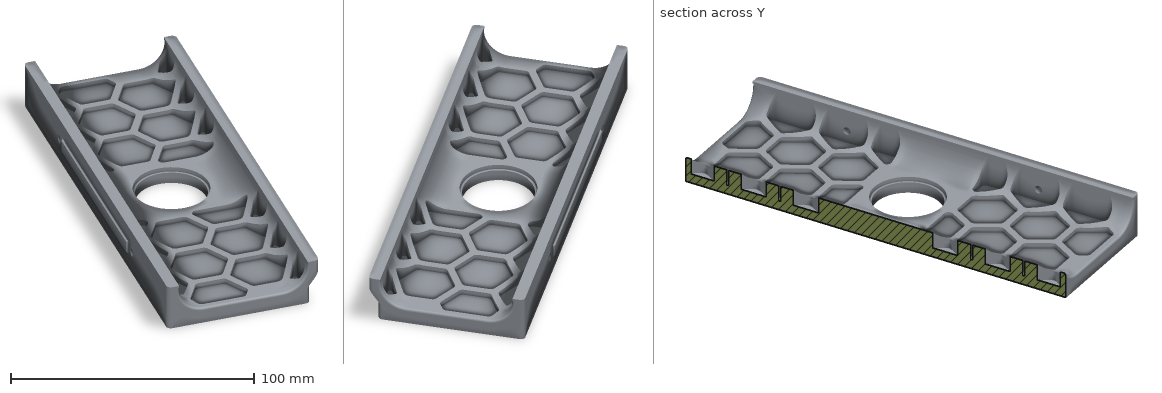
import cadquery as cq
import math

LENGTH = 182.0
WIDTH = 66.0
HEIGHT = 20.0
CORNER_RADIUS = 2.0

RAIL_WIDTH = 5.0
FLOOR_Z = 7.0
CHANNEL_RADIUS = 11.0
END_RADIUS = 1.0
ROUNDING_TOP_Z = 19.0
EDGE_MARGIN = 0.1
CHANNEL_HALF = WIDTH / 2 - RAIL_WIDTH
FLOOR_HALF = CHANNEL_HALF - CHANNEL_RADIUS

OVERHANG = 4.0
OVERHANG_TOP_Z = 14.5
OVERHANG_BOTTOM_Z = 9.0

WINDOW_DIAMETER = 30.0
STEP_DIAMETER = 32.0
STEP_DEPTH = 2.0

HEX_FLATS = 22.0
HEX_PITCH = 25.0
POCKET_CORNER_RADIUS = 2.0
BACK_CORNER_RADIUS = 1.0
POCKET_FLOOR_Z = 4.5
FRONT_ROW = -1
BACK_ROW = 2
ROW_PITCH = HEX_PITCH * math.sqrt(3) / 2
ROW_Y = -8.0
COLUMN_X = 58.3
FIELD_INNER_X = 19.5
FIELD_OUTER_X = 88.0

BAR_LENGTH = 83.0
BAR_HEIGHT = 6.0
BAR_RELIEF = 0.8
BAR_TAPER = 0.5
SIDE_Z = 10.0
SIDE_HOLE_DIAMETER = 3.5
SIDE_HOLE_X = COLUMN_X - HEX_PITCH / 2


def make_body():
    """Full-length outer solid, undercut below the back rail, with its upright corners rounded."""
    front = -WIDTH / 2
    back = WIDTH / 2
    profile = (
        cq.Workplane("YZ")
        .moveTo(front, 0)
        .lineTo(back - OVERHANG, 0)
        .lineTo(back - OVERHANG, OVERHANG_BOTTOM_Z)
        .lineTo(back, OVERHANG_TOP_Z)
        .lineTo(back, HEIGHT)
        .lineTo(front, HEIGHT)
        .close()
    )
    return profile.extrude(LENGTH / 2, both=True).edges("|Z").fillet(CORNER_RADIUS)


def make_channel():
    """Channel cutter of full length."""
    arc_z = FLOOR_Z + CHANNEL_RADIUS
    return (
        cq.Workplane("YZ")
        .moveTo(-CHANNEL_HALF, HEIGHT)
        .lineTo(-CHANNEL_HALF, arc_z)
        .radiusArc((-FLOOR_HALF, FLOOR_Z), -CHANNEL_RADIUS)
        .lineTo(FLOOR_HALF, FLOOR_Z)
        .radiusArc((CHANNEL_HALF, arc_z), -CHANNEL_RADIUS)
        .lineTo(CHANNEL_HALF, HEIGHT)
        .close()
        .extrude(LENGTH / 2, both=True)
    )


def cut_channel(body):
    """Cut the channel, round its edge at both ends and keep the rail tops square above the rounding."""
    square_ended = body.cut(make_channel())
    top_slab = (
        cq.Workplane("XY", origin=(0, 0, ROUNDING_TOP_Z))
        .rect(LENGTH, WIDTH)
        .extrude(HEIGHT - ROUNDING_TOP_Z)
    )
    channel_edges = cq.selectors.BoxSelector(
        (-LENGTH, -CHANNEL_HALF - EDGE_MARGIN, FLOOR_Z - EDGE_MARGIN),
        (LENGTH, CHANNEL_HALF + EDGE_MARGIN, HEIGHT - EDGE_MARGIN),
    )
    rounded = square_ended.faces("<X or >X").edges(channel_edges).fillet(END_RADIUS)
    return rounded.union(square_ended.intersect(top_slab))


def make_pocket(x, y, radius):
    """One hexagonal pocket trimmed to the honeycomb field, its corners rounded by radius.

    The hexagon and the field are both shrunk by radius; growing their overlap back rounds every corner.
    """
    floor = cq.Workplane("XY", origin=(0, 0, POCKET_FLOOR_Z))
    field = (
        floor.center((FIELD_INNER_X + FIELD_OUTER_X) / 2, 0)
        .rect(FIELD_OUTER_X - FIELD_INNER_X - 2 * radius, 2 * (CHANNEL_HALF - radius))
        .extrude(HEIGHT)
    )
    hexagon = (
        floor.center(x, y)
        .transformed(rotate=(0, 0, 30))
        .polygon(6, (HEX_FLATS - 2 * radius) * 2 / math.sqrt(3))
        .extrude(HEIGHT)
    )
    core = hexagon.intersect(field).faces("<Z").wires().val()
    return floor.add(core).toPending().offset2D(radius).extrude(HEIGHT)


def cut_honeycomb(body):
    """Cut four staggered rows of three pockets on each side of the window."""
    for row in range(FRONT_ROW, BACK_ROW + 1):
        stagger = (row % 2) * HEX_PITCH / 2
        radius = BACK_CORNER_RADIUS if row == BACK_ROW else POCKET_CORNER_RADIUS
        for column in (-1, 0, 1):
            x = COLUMN_X + column * HEX_PITCH - stagger
            pocket = make_pocket(x, ROW_Y + row * ROW_PITCH, radius)
            body = body.cut(pocket).cut(pocket.mirror("YZ"))
    return body


def cut_window(body):
    """Cut the round window with a wider step at the floor."""
    window = cq.Workplane("XY").circle(WINDOW_DIAMETER / 2).extrude(FLOOR_Z)
    step_floor = cq.Workplane("XY", origin=(0, 0, FLOOR_Z - STEP_DEPTH))
    step = step_floor.circle(STEP_DIAMETER / 2).extrude(STEP_DEPTH)
    return body.cut(window).cut(step)


def add_bar(body):
    """Add the raised bar with drafted sides on the front wall."""
    taper = math.degrees(math.atan(BAR_TAPER / BAR_RELIEF))
    bar = (
        cq.Workplane("XZ", origin=(0, -WIDTH / 2, SIDE_Z))
        .rect(BAR_LENGTH, BAR_HEIGHT)
        .extrude(BAR_RELIEF, taper=taper)
    )
    return body.union(bar)


def cut_side_holes(body):
    """Drill a hole through the front wall beside each end of the bar, into the pockets behind."""
    holes = (
        cq.Workplane("XZ", origin=(0, -WIDTH / 2, SIDE_Z))
        .pushPoints([(-SIDE_HOLE_X, 0), (SIDE_HOLE_X, 0)])
        .circle(SIDE_HOLE_DIAMETER / 2)
        .extrude(-RAIL_WIDTH)
    )
    return body.cut(holes)


result = make_body()
result = cut_channel(result)
result = cut_honeycomb(result)
result = cut_window(result)
result = cut_side_holes(result)
result = add_bar(result)